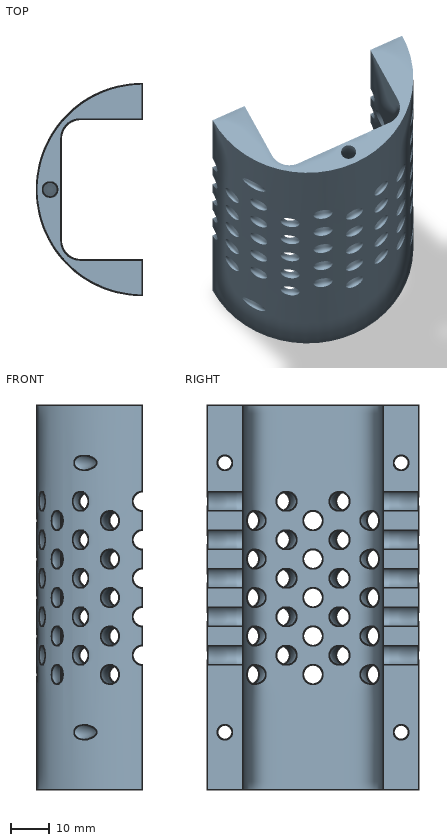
import cadquery as cq
import math

length = 100.0
outer_radius = 27.5

channel_width = 36.5
wall_at_crown = 6.4
channel_corner_radius = 5.0
channel_depth = outer_radius - wall_at_crown

vent_diameter = 5.0
vent_column_angle = 18.0
columns_each_side = 5
vents_per_column = 5
vent_pitch = 10.0
even_column_start = 30.0
odd_column_start = even_column_start + vent_pitch / 2

mount_diameter = 3.8
mount_offset = 22.9
mount_end_distance = 15.0

pin_diameter = 3.9
pin_depth = 10.0
pin_distance_from_crown = 3.5


def half_round():
    return (
        cq.Workplane("XY")
        .moveTo(0, outer_radius)
        .threePointArc((-outer_radius, 0), (0, -outer_radius))
        .close()
        .extrude(length)
    )


def channel():
    return (
        cq.Workplane("XY")
        .box(2 * channel_depth, channel_width, length, centered=(True, True, False))
        .edges("|Z and <X")
        .fillet(channel_corner_radius)
    )


def vent(column, z):
    """Radial cutter from the shell axis outwards; column 0 points to -X."""
    angle = math.radians(column * vent_column_angle)
    direction = cq.Vector(-math.cos(angle), math.sin(angle), 0)
    cutter_length = 2 * outer_radius
    return cq.Solid.makeCylinder(vent_diameter / 2, cutter_length, cq.Vector(0, 0, z), direction)


def vents():
    cutters = []
    for column in range(-columns_each_side, columns_each_side + 1):
        start = odd_column_start if column % 2 else even_column_start
        for row in range(vents_per_column):
            cutters.append(vent(column, start + row * vent_pitch))
    return cutters


def mount_holes():
    cutters = []
    for y in (-mount_offset, mount_offset):
        for z in (mount_end_distance, length - mount_end_distance):
            start = cq.Vector(-outer_radius, y, z)
            cutters.append(
                cq.Solid.makeCylinder(mount_diameter / 2, 2 * outer_radius, start, cq.Vector(1, 0, 0))
            )
    return cutters


def pin_hole():
    start = cq.Vector(pin_distance_from_crown - outer_radius, 0, length - pin_depth)
    return cq.Solid.makeCylinder(pin_diameter / 2, pin_depth, start, cq.Vector(0, 0, 1))


result = half_round().cut(channel())
for cutter in vents() + mount_holes() + [pin_hole()]:
    result = result.cut(cq.Workplane(cutter))